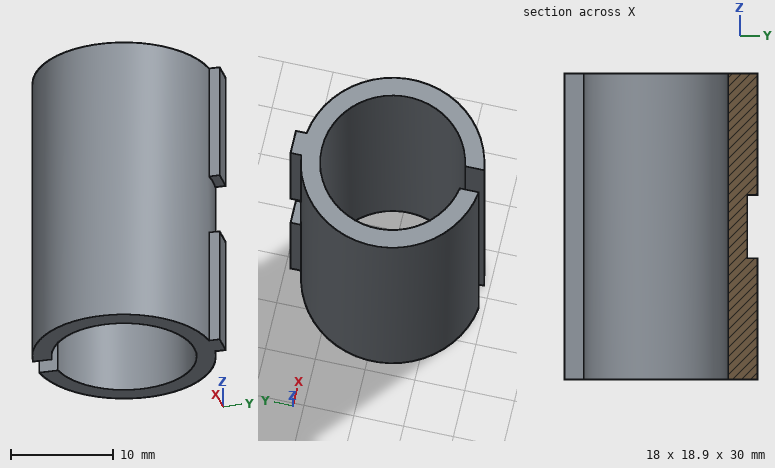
import cadquery as cq

length = 30.0
outer_radius = 9.0
bore_radius = 7.1
slot_width = 2.4
key_width = slot_width
key_top = 10.0
key_gap = 6.18

key_length = (length - key_gap) / 2
key_root = (bore_radius + outer_radius) / 2


def split_sleeve():
    """Tube along Z, slit through its -Y wall over the full length."""
    tube = cq.Workplane("XY").circle(outer_radius).circle(bore_radius).extrude(length)
    slit = cq.Workplane("XY").rect(slot_width, outer_radius * 2).extrude(length)
    return tube.cut(slit.translate((0, -outer_radius, 0)))


def key_segment(bottom):
    """Rectangular key on the +Y side, starting at the given height."""
    return (
        cq.Workplane("XY", origin=(0, key_root, bottom))
        .box(key_width, key_top - key_root, key_length, centered=(True, False, False))
    )


result = split_sleeve()
for segment_bottom in (0, length - key_length):
    result = result.union(key_segment(segment_bottom))